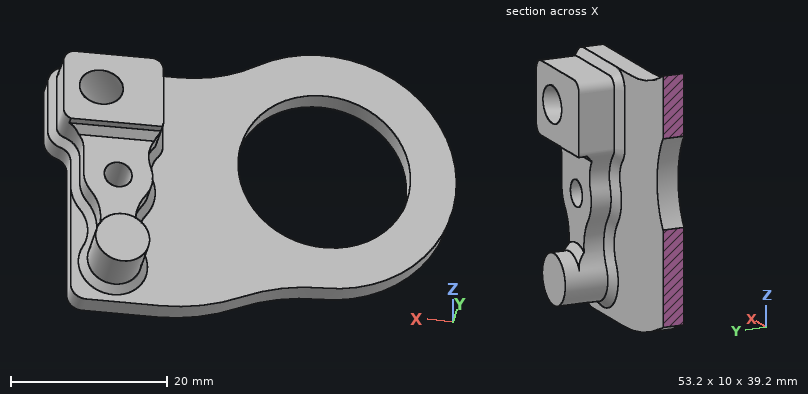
import cadquery as cq
import math

PLATE_THICKNESS = 3.0
WEB_TOP = 6.8
BLOCK_TOP = 9.0
POST_TOP = 10.0
FOOT = 1.0
FOOT_ANGLE = 45.0

RING_RADIUS = 17.2
BORE_RADIUS = 11.2
FLANGE_TOP = 12.0
FLANGE_BOTTOM = -22.0
FLANGE_RIGHT = 36.0
FLANGE_LOWER_RIGHT = 33.0
FLANGE_CORNER_RADIUS = 2.5
LOWER_CORNER_RADIUS = 2.0
UPPER_BLEND_RADIUS = 20.0
LOWER_BLEND_RADIUS = 25.0
STEP_BLEND_RADIUS = 2.0
STEP_CORNER_Z = 2.4

MARGIN = 1.0
BLOCK_LEFT = 22.0
BLOCK_BOTTOM = 1.0
BLOCK_LEFT_CORNER_Z = 1.6
BLOCK_CORNER_RADIUS = FLANGE_CORNER_RADIUS - MARGIN
BLOCK_RIGHT = FLANGE_RIGHT - MARGIN
BLOCK_UPPER = FLANGE_TOP - MARGIN
WEB_RIGHT = FLANGE_LOWER_RIGHT - MARGIN
WEB_RADIUS = 4.5
UPPER_WAIST_RADIUS = 4.5
LOWER_WAIST_RADIUS = 6.0
PIN_HOLE_RADIUS = 1.8
PIN_HOLE = (WEB_RIGHT - WEB_RADIUS, -5.4)
POST_RADIUS = 3.5
POST = (PIN_HOLE[0], -16.5)

SLANT_HOLE_RADIUS = 2.5
SLANT_ANGLE = 28.0
SLANT_ENTRY = (25.3, 6.0)


def toward(start, target, distance):
    """Point at a distance from start on the way to target."""
    scale = distance / math.dist(start, target)
    return (start[0] + (target[0] - start[0]) * scale, start[1] + (target[1] - start[1]) * scale)


def blend_center(upper, upper_radius, lower, lower_radius, side, blend_radius):
    """Centre of the arc touching two circles from outside; side is 1 for left, -1 for right."""
    reach = upper_radius + blend_radius
    gap = math.dist(upper, lower)
    along = (reach**2 - (lower_radius + blend_radius) ** 2 + gap**2) / (2 * gap)
    aside = side * math.sqrt(reach**2 - along**2)
    ux = (lower[0] - upper[0]) / gap
    uz = (lower[1] - upper[1]) / gap
    return (upper[0] + ux * along + uz * aside, upper[1] + uz * along - ux * aside)


def arc(path, start, center, end):
    """Add the shorter arc about center from start, the current point, to end."""
    chord_middle = ((start[0] + end[0]) / 2, (start[1] + end[1]) / 2)
    return path.threePointArc(toward(center, chord_middle, math.dist(center, start)), end)


def section(height):
    """Sketch plane at a height along Y; local axes are X and Z, extrusion runs toward -Y."""
    return cq.Workplane("XZ", origin=(0, height, 0))


def right_step(corner_radius, blend_radius, lower_right):
    """Corner centre, blend centre, crossover and end of the S curve on the right-hand side."""
    corner = (FLANGE_RIGHT - FLANGE_CORNER_RADIUS, STEP_CORNER_Z)
    blend_x = lower_right + blend_radius
    drop = math.sqrt((corner_radius + blend_radius) ** 2 - (blend_x - corner[0]) ** 2)
    blend = (blend_x, corner[1] - drop)
    return corner, blend, toward(corner, blend, corner_radius), (lower_right, blend[1])


def make_plate():
    upper_z = FLANGE_TOP + UPPER_BLEND_RADIUS
    upper_x = math.sqrt((RING_RADIUS + UPPER_BLEND_RADIUS) ** 2 - upper_z**2)
    upper_center = (upper_x, upper_z)
    ring_end = toward((0, 0), upper_center, RING_RADIUS)
    ring_bottom = (0, -RING_RADIUS)

    top_corner = (FLANGE_RIGHT - FLANGE_CORNER_RADIUS, FLANGE_TOP - FLANGE_CORNER_RADIUS)
    corner, blend, crossover, step_end = right_step(
        FLANGE_CORNER_RADIUS, STEP_BLEND_RADIUS, FLANGE_LOWER_RIGHT
    )
    low_corner = (FLANGE_LOWER_RIGHT - LOWER_CORNER_RADIUS, FLANGE_BOTTOM + LOWER_CORNER_RADIUS)

    dip_center = (0, -RING_RADIUS - LOWER_BLEND_RADIUS)
    swell_z = FLANGE_BOTTOM + LOWER_BLEND_RADIUS
    swell_x = math.sqrt((2 * LOWER_BLEND_RADIUS) ** 2 - (swell_z - dip_center[1]) ** 2)
    swell_center = (swell_x, swell_z)
    lower_crossover = toward(dip_center, swell_center, LOWER_BLEND_RADIUS)

    path = section(PLATE_THICKNESS).moveTo(*ring_bottom)
    path = path.threePointArc((-RING_RADIUS, 0), ring_end)
    path = arc(path, ring_end, upper_center, (upper_x, FLANGE_TOP))
    path = path.lineTo(top_corner[0], FLANGE_TOP)
    path = arc(path, (top_corner[0], FLANGE_TOP), top_corner, (FLANGE_RIGHT, top_corner[1]))
    path = path.lineTo(FLANGE_RIGHT, corner[1])
    path = arc(path, (FLANGE_RIGHT, corner[1]), corner, crossover)
    path = arc(path, crossover, blend, step_end)
    path = path.lineTo(FLANGE_LOWER_RIGHT, low_corner[1])
    path = arc(path, (FLANGE_LOWER_RIGHT, low_corner[1]), low_corner, (low_corner[0], FLANGE_BOTTOM))
    path = path.lineTo(swell_x, FLANGE_BOTTOM)
    path = arc(path, (swell_x, FLANGE_BOTTOM), swell_center, lower_crossover)
    path = arc(path, lower_crossover, dip_center, ring_bottom)
    return path.close().extrude(PLATE_THICKNESS)


def body_outline(height):
    """Closed outline of the raised body, drawn clockwise from its upper left corner."""
    radius = BLOCK_CORNER_RADIUS
    left_x = BLOCK_LEFT + radius
    top_z = BLOCK_UPPER - radius
    corner, blend, crossover, step_end = right_step(radius, STEP_BLEND_RADIUS + MARGIN, WEB_RIGHT)
    right_waist = blend_center(PIN_HOLE, WEB_RADIUS, POST, POST_RADIUS, -1, LOWER_WAIST_RADIUS)
    left_waist = blend_center(PIN_HOLE, WEB_RADIUS, POST, POST_RADIUS, 1, LOWER_WAIST_RADIUS)
    left_corner = (left_x, BLOCK_LEFT_CORNER_Z)
    neck = blend_center(left_corner, radius, PIN_HOLE, WEB_RADIUS, 1, UPPER_WAIST_RADIUS)

    web_right = (WEB_RIGHT, PIN_HOLE[1])
    web_low_right = toward(PIN_HOLE, right_waist, WEB_RADIUS)
    post_right = toward(POST, right_waist, POST_RADIUS)
    post_bottom = (POST[0], POST[1] - POST_RADIUS)
    post_left = toward(POST, left_waist, POST_RADIUS)
    web_low_left = toward(PIN_HOLE, left_waist, WEB_RADIUS)
    web_high_left = toward(PIN_HOLE, neck, WEB_RADIUS)
    neck_top = toward(left_corner, neck, radius)

    path = section(height).moveTo(BLOCK_LEFT, top_z)
    path = arc(path, (BLOCK_LEFT, top_z), (left_x, top_z), (left_x, BLOCK_UPPER))
    path = path.lineTo(corner[0], BLOCK_UPPER)
    path = arc(path, (corner[0], BLOCK_UPPER), (corner[0], top_z), (BLOCK_RIGHT, top_z))
    path = path.lineTo(BLOCK_RIGHT, corner[1])
    path = arc(path, (BLOCK_RIGHT, corner[1]), corner, crossover)
    path = arc(path, crossover, blend, step_end)
    path = path.lineTo(*web_right)
    path = arc(path, web_right, PIN_HOLE, web_low_right)
    path = arc(path, web_low_right, right_waist, post_right)
    path = path.threePointArc(post_bottom, post_left)
    path = arc(path, post_left, left_waist, web_low_left)
    path = arc(path, web_low_left, PIN_HOLE, web_high_left)
    path = arc(path, web_high_left, neck, neck_top)
    path = arc(path, neck_top, left_corner, (BLOCK_LEFT, BLOCK_LEFT_CORNER_Z))
    return path.close()


def make_body():
    foot_top = PLATE_THICKNESS + FOOT
    web = body_outline(WEB_TOP).extrude(WEB_TOP - PLATE_THICKNESS)
    web_foot = body_outline(foot_top).extrude(FOOT, taper=-FOOT_ANGLE)

    block_profile = [
        (WEB_TOP, FLANGE_TOP),
        (BLOCK_TOP, FLANGE_TOP),
        (BLOCK_TOP, BLOCK_BOTTOM),
        (WEB_TOP + FOOT, BLOCK_BOTTOM),
        (WEB_TOP, BLOCK_BOTTOM - FOOT),
    ]
    limit = body_outline(POST_TOP).extrude(POST_TOP - PLATE_THICKNESS)
    block = cq.Workplane("YZ").polyline(block_profile).close().extrude(FLANGE_RIGHT).intersect(limit)
    post_foot = section(WEB_TOP + FOOT).center(*POST).circle(POST_RADIUS).extrude(FOOT, taper=-FOOT_ANGLE)
    post = section(POST_TOP).center(*POST).circle(POST_RADIUS).extrude(POST_TOP - WEB_TOP)
    post = post.union(post_foot).intersect(limit)
    return web.union(block).union(post).union(web_foot)


def round_hole(center, radius):
    return section(POST_TOP).center(*center).circle(radius).extrude(POST_TOP)


def slanted_hole():
    angle = math.radians(SLANT_ANGLE)
    direction = cq.Vector(math.sin(angle), math.cos(angle), 0)
    overshoot = POST_TOP
    start = cq.Vector(SLANT_ENTRY[0], 0, SLANT_ENTRY[1]) - direction * overshoot
    length = BLOCK_TOP + 2 * overshoot
    return cq.Workplane(cq.Solid.makeCylinder(SLANT_HOLE_RADIUS, length, start, direction))


part = make_plate().union(make_body())
part = part.cut(round_hole((0, 0), BORE_RADIUS))
part = part.cut(round_hole(PIN_HOLE, PIN_HOLE_RADIUS))
part = part.cut(slanted_hole())
result = part.solids()